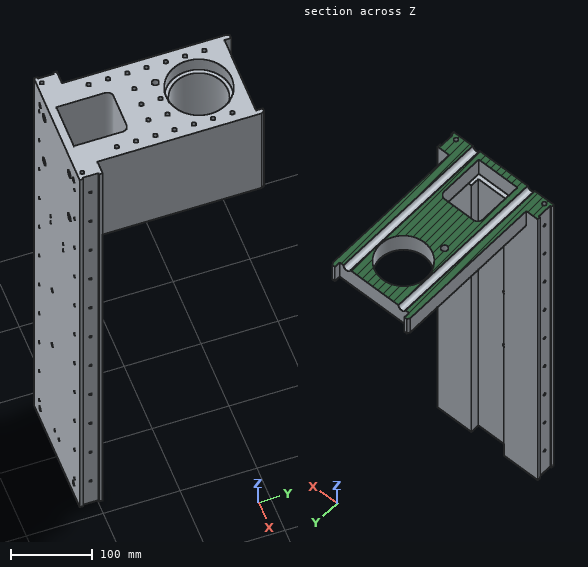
import cadquery as cq

PLATE_WIDTH = 164.0
PLATE_THICKNESS = 30.0
HEIGHT = 680.0
TOTAL_DEPTH = 247.5

GROOVE_DEPTH = 2.0
GROOVE_SHOULDER = 5.0

HEAD_WIDTH = 126.5
HEAD_HEIGHT = 155.0
HEAD_BOTTOM = HEIGHT - HEAD_HEIGHT
LIP_HEIGHT = 9.0
LIP_THICKNESS = 7.0
LIP_CHAMFER_X = 2.0
LIP_CHAMFER_Y = 4.0

BORE_Y = 185.0
BORE_DIAMETER = 75.0
SEAT_DIAMETER = 85.0
SEAT_DEPTH = 22.0

WINDOW_WIDTH = 62.5
WINDOW_FRONT = 11.0
WINDOW_BACK = 82.0
WINDOW_RADIUS = 8.0

CHANNEL_WIDTH = 53.0
CHANNEL_DEPTH = 13.0

BLIND_DEPTH = 10.0
CORE_DEPTH = 15.0

ROW_COUNT = 11
ROW_LENGTH = 600.0
ROW_PITCH = ROW_LENGTH / (ROW_COUNT - 1)
ROW_HOLE_DIAMETER = 3.3
FRONT_ROW_X = 63.0
FRONT_ROW_BOTTOM = 35.5
SIDE_ROW_BOTTOM = HEIGHT - FRONT_ROW_BOTTOM - ROW_LENGTH

CORNER_HOLE_DIAMETER = 7.0
CORNER_CORE_DIAMETER = 5.0
CORNER_HOLE_X = 60.0
CORNER_HOLE_HEIGHTS = (22.0, HEIGHT - 28.5)
BRACKET_HOLE_DIAMETER = 3.3
BRACKET_UPPER_X = 22.5
BRACKET_UPPER_HEIGHTS = (457.0, 470.0)
BRACKET_LOWER_X = 7.5
BRACKET_LOWER_HEIGHT = 44.0
CHANNEL_HOLE_DIAMETER = 5.5
CHANNEL_HOLE_X = -16.0
CHANNEL_HOLE_HEIGHTS = (210.0, 324.0)

BOLT_DIAMETER = 11.0
BOLT_X = 45.0
BOLT_HEIGHTS = (HEIGHT - 125.0, HEIGHT - 35.5)

LONG_HOLE_DIAMETER = 5.0
LONG_HOLE_X = 72.0
LONG_HOLE_Y = 7.0

GRID_ROWS = 7
GRID_LENGTH = 150.0
GRID_PITCH = GRID_LENGTH / (GRID_ROWS - 1)
GRID_FIRST_Y = 60.0
GRID_HOLE_DIAMETER = 5.5
GRID_CORE_DIAMETER = 4.2
THREE_HOLE_ROW = 2
TWO_HOLE_ROW = 3

DRAIN_DIAMETER = 9.0
DRAIN_Y = 137.5

PORT_DIAMETER = 7.0
PORT_Y = 189.0
PORT_Z = HEIGHT - 119.0


def box(width, y_front, y_back, z_bottom, z_top):
    """Box centred on X between the given Y and Z limits."""
    return (
        cq.Workplane("XY", origin=(0, 0, z_bottom))
        .center(0, (y_front + y_back) / 2)
        .rect(width, y_back - y_front)
        .extrude(z_top - z_bottom)
    )


def holes_along_y(points, diameter, depth):
    """Holes at (x, z) points, drilled from the front face toward +Y."""
    flipped = [(-x, z) for x, z in points]
    plane = cq.Plane(origin=(0, 0, 0), xDir=(-1, 0, 0), normal=(0, 1, 0))
    return cq.Workplane(plane).pushPoints(flipped).circle(diameter / 2).extrude(depth)


def holes_down(points, diameter, depth):
    """Holes at (x, y) points, drilled down from the top face."""
    return (
        cq.Workplane("XY", origin=(0, 0, HEIGHT))
        .pushPoints(points)
        .circle(diameter / 2)
        .extrude(-depth)
    )


def holes_along_x(points, diameter, start_x, depth):
    """Holes at (y, z) points, drilled toward +X from start_x."""
    return (
        cq.Workplane("YZ", origin=(start_x, 0, 0))
        .pushPoints(points)
        .circle(diameter / 2)
        .extrude(depth)
    )


def plate():
    """Column plate with a groove along each long edge."""
    body = box(PLATE_WIDTH, 0, PLATE_THICKNESS, 0, HEIGHT)
    groove = box(
        2 * GROOVE_DEPTH, GROOVE_SHOULDER, PLATE_THICKNESS - GROOVE_SHOULDER, 0, HEIGHT
    )
    for side in (-1, 1):
        body = body.cut(groove.translate((side * PLATE_WIDTH / 2, 0, 0)))
    return body


def head():
    """Head block whose back face is recessed between two chamfered lips."""
    half = HEAD_WIDTH / 2
    lip_inside = half - LIP_THICKNESS
    recess_y = TOTAL_DEPTH - LIP_HEIGHT
    right_side = [
        (half, PLATE_THICKNESS),
        (half, TOTAL_DEPTH - LIP_CHAMFER_Y),
        (half - LIP_CHAMFER_X, TOTAL_DEPTH),
        (lip_inside, TOTAL_DEPTH),
        (lip_inside, recess_y),
    ]
    left_side = [(-x, y) for x, y in reversed(right_side)]
    return (
        cq.Workplane("XY", origin=(0, 0, HEAD_BOTTOM))
        .polyline(right_side + left_side)
        .close()
        .extrude(HEAD_HEIGHT)
    )


def bore():
    """Stepped vertical bore through the head."""
    centre = [(0, BORE_Y)]
    return holes_down(centre, BORE_DIAMETER, HEAD_HEIGHT).union(
        holes_down(centre, SEAT_DIAMETER, SEAT_DEPTH)
    )


def window():
    """Rectangular shaft through the head, rounded at its two rear corners."""
    shaft = box(WINDOW_WIDTH, WINDOW_FRONT, WINDOW_BACK, HEAD_BOTTOM, HEIGHT)
    return shaft.edges("|Z and >Y").fillet(WINDOW_RADIUS)


def channel():
    """Groove running the full height of the plate's back face."""
    return box(CHANNEL_WIDTH, PLATE_THICKNESS - CHANNEL_DEPTH, PLATE_THICKNESS, 0, HEIGHT)


def mirrored(x, positions):
    """Points at -x and +x for every position along the second axis."""
    return [(side * x, position) for side in (-1, 1) for position in positions]


def row_heights(first):
    """Heights of one row of evenly pitched holes."""
    return [first + i * ROW_PITCH for i in range(ROW_COUNT)]


def front_holes():
    """Every hole that enters through the front face of the plate."""
    row = mirrored(FRONT_ROW_X, row_heights(FRONT_ROW_BOTTOM))
    corners = mirrored(CORNER_HOLE_X, CORNER_HOLE_HEIGHTS)
    brackets = mirrored(BRACKET_UPPER_X, BRACKET_UPPER_HEIGHTS)
    brackets += mirrored(BRACKET_LOWER_X, [BRACKET_LOWER_HEIGHT])
    channel_points = [(CHANNEL_HOLE_X, z) for z in CHANNEL_HOLE_HEIGHTS]
    return [
        holes_along_y(row, ROW_HOLE_DIAMETER, BLIND_DEPTH),
        holes_along_y(corners, CORNER_HOLE_DIAMETER, BLIND_DEPTH),
        holes_along_y(corners, CORNER_CORE_DIAMETER, CORE_DEPTH),
        holes_along_y(brackets, BRACKET_HOLE_DIAMETER, BLIND_DEPTH),
        holes_along_y(channel_points, CHANNEL_HOLE_DIAMETER, PLATE_THICKNESS),
        holes_along_y(mirrored(BOLT_X, BOLT_HEIGHTS), BOLT_DIAMETER, TOTAL_DEPTH),
    ]


def side_holes():
    """Tapped rows in both plate edges and the port from the -X side into the bore."""
    row = [(PLATE_THICKNESS / 2, z) for z in row_heights(SIDE_ROW_BOTTOM)]
    edge = PLATE_WIDTH / 2
    depth = GROOVE_DEPTH + BLIND_DEPTH
    return [
        holes_along_x(row, ROW_HOLE_DIAMETER, -edge, depth),
        holes_along_x(row, ROW_HOLE_DIAMETER, edge, -depth),
        holes_along_x([(PORT_Y, PORT_Z)], PORT_DIAMETER, -HEAD_WIDTH / 2, HEAD_WIDTH / 2),
    ]


def top_holes():
    """Tapped grid in the head, the drain hole and the long holes in the plate."""
    rows = [GRID_FIRST_Y + i * GRID_PITCH for i in range(GRID_ROWS)]
    grid = mirrored(2 * GRID_PITCH, rows)
    grid += [(column * GRID_PITCH, rows[THREE_HOLE_ROW]) for column in (-1, 0, 1)]
    grid += [(column * GRID_PITCH, rows[TWO_HOLE_ROW]) for column in (0, 1)]
    return [
        holes_down(grid, GRID_HOLE_DIAMETER, BLIND_DEPTH),
        holes_down(grid, GRID_CORE_DIAMETER, CORE_DEPTH),
        holes_down([(-GRID_PITCH, DRAIN_Y)], DRAIN_DIAMETER, HEAD_HEIGHT),
        holes_down(mirrored(LONG_HOLE_X, [LONG_HOLE_Y]), LONG_HOLE_DIAMETER, HEIGHT),
    ]


result = plate().union(head())
cutters = [bore(), window(), channel()] + front_holes() + side_holes() + top_holes()
for cutter in cutters:
    result = result.cut(cutter)